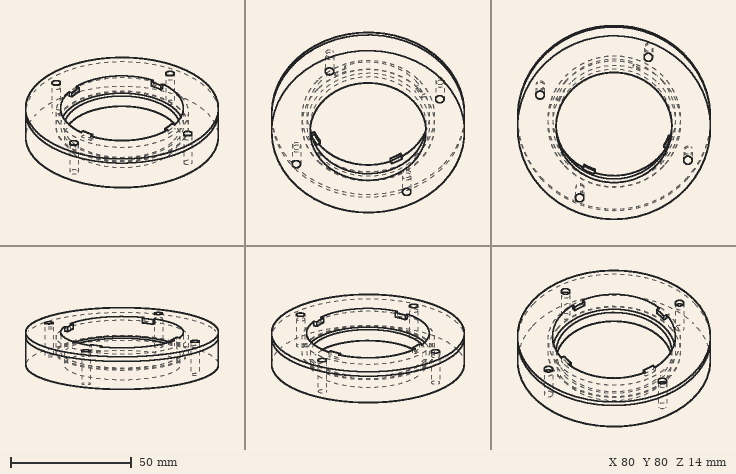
import cadquery as cq

outer_diameter = 80.0
total_height = 14.0
plate_thickness = 2.0
base_height = total_height - plate_thickness

opening_diameter = 48.0
recess_diameter = 55.0
floor_thickness = 5.0

sleeve_outer_diameter = 54.9
sleeve_bore_diameter = 50.9
sleeve_length = 6.5

tab_count = 4
tab_width = 5.0
tab_thickness = plate_thickness

screw_count = 4
screw_diameter = 3.5
screw_circle_radius = 33.8


def disc(diameter, bottom, height):
    """Upright cylinder centred on the Z axis."""
    return cq.Workplane("XY").workplane(offset=bottom).circle(diameter / 2).extrude(height)


def screw_holes():
    """Cylinders that cut the screw holes through the full height."""
    return (
        cq.Workplane("XY")
        .polarArray(screw_circle_radius, 0, 360, screw_count)
        .circle(screw_diameter / 2)
        .extrude(total_height)
    )


def tabs():
    """Inward tabs flush with the top face, with ends on the opening diameter."""
    bottom = total_height - tab_thickness
    tab_reach = (sleeve_outer_diameter + sleeve_bore_diameter) / 4
    bars = (
        cq.Workplane("XY")
        .workplane(offset=bottom)
        .polarArray(tab_reach / 2, 0, 360, tab_count)
        .rect(tab_reach, tab_width)
        .extrude(tab_thickness)
    )
    return bars.cut(disc(opening_diameter, bottom, tab_thickness))


def make_base():
    """Lower ring with a stepped bore."""
    body = disc(outer_diameter, 0, base_height)
    body = body.cut(disc(opening_diameter, 0, base_height))
    body = body.cut(disc(recess_diameter, floor_thickness, base_height - floor_thickness))
    return body.cut(screw_holes())


def make_cover():
    """Top plate with its sleeve and tabs."""
    sleeve_bottom = base_height - sleeve_length
    body = disc(outer_diameter, base_height, plate_thickness)
    body = body.union(disc(sleeve_outer_diameter, sleeve_bottom, sleeve_length))
    body = body.cut(disc(sleeve_bore_diameter, sleeve_bottom, total_height - sleeve_bottom))
    return body.union(tabs()).cut(screw_holes())


base = make_base()
cover = make_cover()

result = cq.Compound.makeCompound([base.val(), cover.val()])